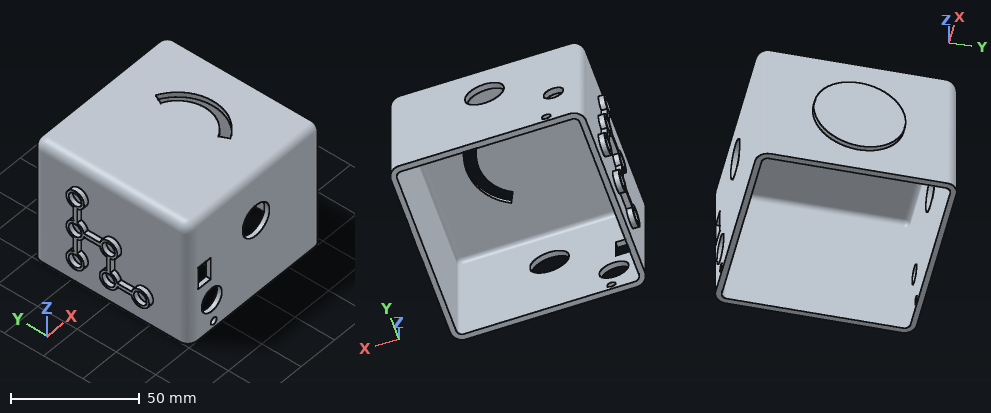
import cadquery as cq
import math

overall_length = 84.5

box_side = 80.0
box_height = 63.0
wall = 2.5
edge_radius = 5.0
inner_radius = edge_radius - wall
half_side = box_side / 2

pattern_height = 2.45
node_diameter = 9.0
node_bore = 6.5
link_width = 2.0
node_columns = [16.0, -1.0, -17.15]
node_row_base = 13.9
node_row_pitch = 16.1
node_rows = [node_row_base + i * node_row_pitch for i in range(3)]
nodes = [(0, 0), (0, 1), (0, 2), (1, 1), (1, 0), (2, 0)]
links = [((0, 0), (0, 1)), ((0, 1), (0, 2)), ((0, 1), (1, 1)), ((1, 1), (1, 0)), ((1, 0), (2, 0))]

boss_diameter = 36.5
boss_height = overall_length - box_side - pattern_height
boss_z = 29.1

main_hole = (0, 38.95, 16.0)
pin_hole = (-25.35, 3.6, 3.5)
front_port = (-26.45, 15.6, 12.0)
back_port = (-28.3, 21.7, 8.0)

window_width = 7.5
window_height = 11.2
window_x = -30.85
window_z = 32.6

slot_outer_radius = 21.1
slot_inner_radius = 16.3
slot_half_angle = math.radians(64)


def make_shell():
    """Rounded box with a uniform wall, open at the bottom."""
    outer = cq.Workplane("XY").box(box_side, box_side, box_height, centered=(True, True, False))
    outer = outer.edges("|Z or >Z").fillet(edge_radius)
    cavity_side = box_side - 2 * wall
    cavity = cq.Workplane("XY").box(cavity_side, cavity_side, box_height - wall, centered=(True, True, False))
    cavity = cavity.edges("|Z or >Z").fillet(inner_radius)
    return outer.cut(cavity)


def node_position(node):
    """Y and Z of a pattern node."""
    column, row = node
    return node_columns[column], node_rows[row]


def make_pattern():
    """Ring-shaped nodes joined by straight links, standing out from the -X wall."""
    face = cq.Workplane("YZ", origin=(-half_side - pattern_height, 0, 0))
    centers = [node_position(node) for node in nodes]
    pattern = face.pushPoints(centers).circle(node_diameter / 2).extrude(pattern_height)
    for start, end in links:
        y1, z1 = node_position(start)
        y2, z2 = node_position(end)
        link_y = abs(y2 - y1) + link_width
        link_z = abs(z2 - z1) + link_width
        link = face.center((y1 + y2) / 2, (z1 + z2) / 2).rect(link_y, link_z).extrude(pattern_height)
        pattern = pattern.union(link)
    bores = face.pushPoints(centers).circle(node_bore / 2).extrude(pattern_height)
    return pattern.cut(bores)


def make_boss():
    """Plain disc standing out from the +X wall."""
    face = cq.Workplane("YZ", origin=(half_side, 0, 0))
    return face.center(0, boss_z).circle(boss_diameter / 2).extrude(boss_height)


def hole_along_y(hole, y_start, y_end):
    """Cylinder parallel to Y that cuts everything between two Y positions."""
    x, z, diameter = hole
    plane = cq.Workplane("XZ", origin=(0, y_end, 0))
    return plane.center(x, z).circle(diameter / 2).extrude(y_end - y_start)


def make_window():
    """Rectangular cutter through the -Y wall."""
    window = cq.Workplane("XY").box(window_width, 2 * wall, window_height)
    return window.translate((window_x, -half_side, window_z))


def make_slot():
    """Arc-shaped cutter through the top, concentric with the box."""
    cos_end = math.cos(slot_half_angle)
    sin_end = math.sin(slot_half_angle)
    outer_x, outer_y = slot_outer_radius * cos_end, slot_outer_radius * sin_end
    inner_x, inner_y = slot_inner_radius * cos_end, slot_inner_radius * sin_end
    return (
        cq.Workplane("XY", origin=(0, 0, box_height - wall))
        .moveTo(outer_x, -outer_y)
        .threePointArc((slot_outer_radius, 0), (outer_x, outer_y))
        .lineTo(inner_x, inner_y)
        .threePointArc((slot_inner_radius, 0), (inner_x, -inner_y))
        .close()
        .extrude(wall)
    )


result = make_shell().union(make_pattern()).union(make_boss())
for through_hole in (main_hole, pin_hole):
    result = result.cut(hole_along_y(through_hole, -half_side, half_side))
result = result.cut(hole_along_y(front_port, -half_side, 0))
result = result.cut(hole_along_y(back_port, 0, half_side))
result = result.cut(make_window()).cut(make_slot())